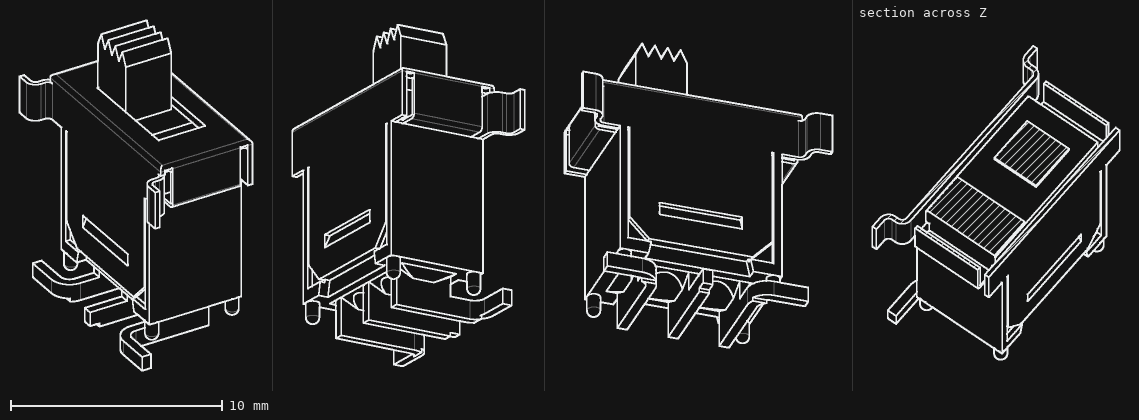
import cadquery as cq
import math

overall_height = 14.2
cover_top = 11.09
cover_underside = 10.65
body_top = 8.65
body_bottom = 1.92

cover_length = 10.17
cover_width = 5.08
sheet = 0.25
end_sheet = 0.18
cover_round = 0.21
end_flap_width = 3.75
slot_length = 5.65
slot_width = 2.58

ear_span = 12.5
ear_back = 3.54
ear_bend_start = 4.87

body_length = 8.12
body_width = cover_width
recess_length = 7.31
recess_bottom = 2.57
recess_mouth_top = 4.91
recess_mouth_bottom = 5.25
recess_mouth_depth = 0.51

flap_length = 7.13
flap_tip_length = 5.2
flap_bottom = 2.71
flap_corner_height = 1.01
window_length = 4.15
window_bottom = 4.15
window_height = 0.65
window_depth = 0.3

knob_length = 2.57
knob_width = 2.51
tooth_count = 4
tooth_height = 0.67
slider_length = 7.95
slider_width = 4.15
slider_bottom = 9.43
slider_top = 10.42
pad_width = 4.06
pad_start = 1.62

pin_diameter = 0.65
pin_tip = 0.88

lead_thickness = 0.5
lead_pitch = 2.55
lead_blade_width = 2.98
tail_top = 0.95
tail_bottom = 0.18
tail_end = 5.04
heel_end = 3.01
lead_bend_inner = 0.5

seal_bottom = 1.48
seal_crest = 1.82
seal_end_hollow = 1.75
seal_half_length = 3.35
seal_tip_width = 1.14


def block(x_range, y_range, z_range):
    """Axis-aligned box given by its limits."""
    size = [high - low for low, high in (x_range, y_range, z_range)]
    corner = (x_range[0], y_range[0], z_range[0])
    return cq.Workplane("XY").box(*size, centered=False).translate(corner)


def centered_block(length, width, bottom, top):
    """Box centred on the Z axis, between two heights."""
    return block((-length / 2, length / 2), (-width / 2, width / 2), (bottom, top))


def both_ends(shape):
    """The shape together with its mirror image at the other end of the part."""
    return shape.union(shape.mirror("YZ"))


def both_sides(shape):
    """The shape together with its mirror image on the other long side."""
    return shape.union(shape.mirror("XZ"))


def arc_middle(center, radius, side):
    """Middle of a quarter arc: at 45 degrees from its centre, towards +X+Y (side 1) or -X-Y (side -1)."""
    offset = side * radius * math.sqrt(0.5)
    return (center[0] + offset, center[1] + offset)


def cover_plate():
    plate = centered_block(cover_length, cover_width, cover_underside, cover_top)
    plate = plate.faces(">Z").edges().fillet(cover_round)
    flap_edge = end_flap_width / 2
    wall_inside = cover_width / 2 - sheet
    relief_radius = (wall_inside - flap_edge) / 2
    relief_height = cover_top - cover_round - cover_underside
    relief = (
        cq.Workplane("XY", origin=(cover_length / 2, flap_edge + relief_radius, cover_underside))
        .circle(relief_radius)
        .extrude(relief_height)
    )
    slot = centered_block(slot_length, slot_width, cover_underside, cover_top)
    return plate.cut(both_sides(both_ends(relief))).cut(slot)


def cover_walls():
    """Long walls; the front one stops where the mounting ears bend away."""
    y_outer = cover_width / 2
    levels = (body_top, cover_underside)
    rear = block((-cover_length / 2, cover_length / 2), (y_outer - sheet, y_outer), levels)
    front = block((-ear_bend_start, ear_bend_start), (-y_outer, sheet - y_outer), levels)
    return rear.union(front)


def end_flap():
    """End wall of the cover, folded in under the cover onto the body."""
    x_outer = cover_length / 2
    y_range = (-end_flap_width / 2, end_flap_width / 2)
    wall = block((x_outer - end_sheet, x_outer), y_range, (body_top, cover_underside))
    fold = block((body_length / 2 - end_sheet, x_outer), y_range, (body_top, body_top + end_sheet))
    return wall.union(fold).edges("|Y and >X and <Z").fillet(cover_round)


def mounting_ear():
    """S-shaped strip that leaves the front wall and ends parallel to it."""
    inner = sheet
    outer = 2 * sheet
    front = -cover_width / 2
    first = (ear_bend_start, front - inner)
    second = (ear_bend_start + outer + inner, -ear_back + outer)
    return (
        cq.Workplane("XY", origin=(0, 0, body_top))
        .moveTo(first[0], front)
        .threePointArc(arc_middle(first, inner, 1), (first[0] + inner, first[1]))
        .lineTo(second[0] - outer, second[1])
        .threePointArc(arc_middle(second, outer, -1), (second[0], -ear_back))
        .lineTo(ear_span / 2, -ear_back)
        .lineTo(ear_span / 2, -ear_back + sheet)
        .lineTo(second[0], -ear_back + sheet)
        .threePointArc(arc_middle(second, inner, -1), (second[0] - inner, second[1]))
        .lineTo(first[0] + outer, first[1])
        .threePointArc(arc_middle(first, outer, 1), (first[0], front + sheet))
        .close()
        .extrude(cover_underside - body_top)
    )


def body():
    core = centered_block(body_length, body_width, body_bottom, body_top)
    recess = block(
        (-recess_length / 2, recess_length / 2),
        (-body_width / 2, sheet - body_width / 2),
        (recess_bottom, body_top),
    )
    mouth = (
        cq.Workplane("XZ", origin=(0, recess_mouth_depth - body_width / 2, 0))
        .polyline([
            (-recess_mouth_bottom / 2, body_bottom),
            (recess_mouth_bottom / 2, body_bottom),
            (recess_mouth_top / 2, flap_bottom),
            (-recess_mouth_top / 2, flap_bottom),
        ])
        .close()
        .extrude(recess_mouth_depth)
    )
    return core.cut(both_sides(recess.union(mouth)))


def retaining_flap():
    return (
        cq.Workplane("XZ", origin=(0, sheet - cover_width / 2, 0))
        .polyline([
            (-flap_length / 2, body_top),
            (-flap_length / 2, flap_bottom + flap_corner_height),
            (-flap_tip_length / 2, flap_bottom),
            (flap_tip_length / 2, flap_bottom),
            (flap_length / 2, flap_bottom + flap_corner_height),
            (flap_length / 2, body_top),
        ])
        .close()
        .extrude(sheet)
    )


def flap_window():
    """Wedge-shaped pocket whose floor runs out to the flap face at its lower edge."""
    face = -cover_width / 2
    top = window_bottom + window_height
    return (
        cq.Workplane("YZ", origin=(-window_length / 2, 0, 0))
        .polyline([(face, window_bottom), (face, top), (face + window_depth, top)])
        .close()
        .extrude(window_length)
    )


def slider():
    """Toothed knob at the -X end of the slot, on a base guided by the body."""
    knob_start = -slot_length / 2
    tooth_pitch = knob_length / tooth_count
    valley = overall_height - tooth_height
    outline = [(knob_start, slider_top), (knob_start, valley)]
    for tooth in range(tooth_count):
        tooth_start = knob_start + tooth * tooth_pitch
        outline.append((tooth_start + tooth_pitch / 2, overall_height))
        outline.append((tooth_start + tooth_pitch, valley))
    outline.append((knob_start + knob_length, slider_top))
    knob = (
        cq.Workplane("XZ", origin=(0, knob_width / 2, 0)).polyline(outline).close().extrude(knob_width)
    )
    base = centered_block(slider_length, slider_width, slider_bottom, slider_top)
    pad = block(
        (pad_start, slider_length / 2), (-pad_width / 2, pad_width / 2), (slider_top, cover_underside)
    )
    guide = centered_block(slider_length, end_flap_width, body_top, slider_bottom)
    return knob.union(base).union(pad).union(guide)


def pins():
    """Round-tipped pins, flush with the body at its four corners."""
    radius = pin_diameter / 2
    tip_center = (body_length / 2 - radius, body_width / 2 - radius, pin_tip + radius)
    shank = cq.Workplane("XY", origin=tip_center).circle(radius).extrude(body_bottom - tip_center[2])
    tip = cq.Workplane("XY", origin=tip_center).sphere(radius)
    return both_sides(both_ends(shank.union(tip)))


def lead_blade(x_center):
    """Upright blade below the body, reaching forward to the front face as a lower foot."""
    x_range = (x_center - lead_thickness / 2, x_center + lead_thickness / 2)
    upright = block(x_range, (-lead_blade_width / 2, lead_blade_width / 2), (0, body_bottom))
    foot = block(x_range, (-body_width / 2, 0), (0, tail_top))
    return upright.union(foot)


def heel_relief():
    """Space under the tails, which stay clear of the lowest level of the leads."""
    return block((-ear_span / 2, ear_span / 2), (-ear_back, -heel_end), (0, tail_bottom))


def middle_lead():
    tail = block(
        (-lead_thickness / 2, lead_thickness / 2), (-ear_back, -body_width / 2), (0, tail_top)
    )
    return lead_blade(0).union(tail.cut(heel_relief()))


def outer_lead():
    """Lead at the +X end, with its tail bent outwards."""
    inner = lead_bend_inner
    outer = inner + lead_thickness
    center = (lead_pitch + lead_thickness / 2 + inner, -ear_back + outer)
    bend = (
        cq.Workplane("XY")
        .moveTo(center[0] - outer, center[1])
        .threePointArc(arc_middle(center, outer, -1), (center[0], -ear_back))
        .lineTo(tail_end, -ear_back)
        .lineTo(tail_end, -ear_back + lead_thickness)
        .lineTo(center[0], -ear_back + lead_thickness)
        .threePointArc(arc_middle(center, inner, -1), (center[0] - inner, center[1]))
        .close()
        .extrude(tail_top)
    )
    return lead_blade(lead_pitch).union(bend.cut(heel_relief()))


def seal():
    """Compound with a hollow between neighbouring leads, narrowing towards the tips."""
    lead_face = lead_pitch - lead_thickness / 2
    lead_back = lead_pitch + lead_thickness / 2
    end_middle = ((lead_back + seal_half_length) / 2, seal_end_hollow)
    across = (
        cq.Workplane("XZ", origin=(0, lead_blade_width / 2, 0))
        .moveTo(-seal_half_length, body_bottom)
        .threePointArc((-end_middle[0], end_middle[1]), (-lead_back, seal_bottom))
        .lineTo(-lead_face, seal_bottom)
        .threePointArc((-lead_pitch / 2, seal_crest), (-lead_thickness / 2, seal_bottom))
        .lineTo(lead_thickness / 2, seal_bottom)
        .threePointArc((lead_pitch / 2, seal_crest), (lead_face, seal_bottom))
        .lineTo(lead_back, seal_bottom)
        .threePointArc(end_middle, (seal_half_length, body_bottom))
        .close()
        .extrude(lead_blade_width)
    )
    along = (
        cq.Workplane("YZ", origin=(-seal_half_length, 0, 0))
        .polyline([
            (-lead_blade_width / 2, body_bottom),
            (-seal_tip_width / 2, seal_bottom),
            (seal_tip_width / 2, seal_bottom),
            (lead_blade_width / 2, body_bottom),
        ])
        .close()
        .extrude(2 * seal_half_length)
    )
    return across.intersect(along)


cover = cover_plate().union(cover_walls()).union(both_ends(end_flap().union(mounting_ear())))
housing = body().union(both_sides(retaining_flap())).cut(both_sides(flap_window()))
leads = middle_lead().union(both_ends(outer_lead()))
result = cover.union(housing).union(slider()).union(pins()).union(leads).union(seal())